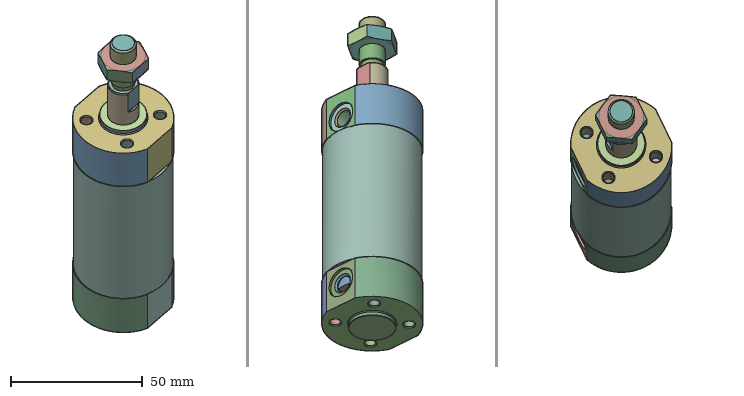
import cadquery as cq
import math

total_length = 138.0
boss_height = 2.0
lower_cap_bottom = boss_height
lower_cap_top = 20.0
upper_cap_bottom = 80.0
upper_cap_top = 98.0
upper_boss_top = upper_cap_top + boss_height

cap_diameter = 38.5
cap_flat_width = 35.6
tube_diameter = 38.0
boss_diameter = 18.0
boss_flare = 0.4
lower_boss_chamfer = 0.1
bore_diameter = 32.0
bore_bottom = 11.5
bore_top = upper_cap_bottom
rod_chamber_diameter = 21.4
rod_chamber_top = 87.5

port_heights = (12.1, 87.0)
spotface_diameter = 12.0
spotface_depth = 1.0
port_mouth_diameter = 8.0
port_diameter = 6.6
port_chamfer = (port_mouth_diameter - port_diameter) / 2
port_depth = 8.3

screw_offset = 10.0
screw_diameter = 4.1
screw_chamfer = 0.4
screw_depth = 8.0

rod_diameter = 12.0
rod_shoulder = 116.3
rod_edge_chamfer = 0.4
thread_diameter = 10.0
thread_bottom = 118.8
thread_chamfer = 0.7
relief_diameter = 8.5
wrench_flat_width = 10.0
wrench_flat_bottom = 106.5
piston_length = 13.8
nut_width = 17.0
nut_height = 6.0
nut_bottom = 125.3
hexagon_half_angle = 30
nut_corner_diameter = nut_width / math.cos(math.radians(hexagon_half_angle))
nut_chamfer_angle = 15


def cylinder(diameter, bottom, top):
    """Cylinder on the Z axis between two heights."""
    return cq.Workplane("XY").workplane(offset=bottom).circle(diameter / 2).extrude(top - bottom)


def make_cap(bottom, top):
    """Round end cap with one flat on each X side."""
    flats = cq.Workplane("XY").box(
        cap_flat_width, cap_diameter, top - bottom, centered=(True, True, False)
    )
    return cylinder(cap_diameter, bottom, top).intersect(flats.translate((0, 0, bottom)))


def make_boss(cap_face, direction):
    """Boss with a flared foot; direction is +1 upwards or -1 downwards."""
    radius = boss_diameter / 2
    profile = [
        (0, cap_face),
        (radius + boss_flare, cap_face),
        (radius, cap_face + direction * boss_flare),
        (radius, cap_face + direction * boss_height),
        (0, cap_face + direction * boss_height),
    ]
    return cq.Workplane("XZ").polyline(profile).close().revolve(360, (0, 0, 0), (0, 1, 0))


def make_port_cutter(height):
    """Spot face, chamfered mouth and flat-bottomed port, cut inwards from the -X flat."""
    flat = -cap_flat_width / 2
    floor = flat + spotface_depth
    profile = [
        (flat, 0),
        (flat, spotface_diameter / 2),
        (floor, spotface_diameter / 2),
        (floor, port_mouth_diameter / 2),
        (floor + port_chamfer, port_diameter / 2),
        (flat + port_depth, port_diameter / 2),
        (flat + port_depth, 0),
    ]
    cutter = cq.Workplane("XZ").polyline(profile).close().revolve(360, (0, 0, 0), (1, 0, 0))
    return cutter.translate((0, 0, height))


def make_screw_cutter(x, y, cap_face, direction):
    """Chamfered blind hole; direction points out of the cap face."""
    radius = screw_diameter / 2
    profile = [
        (0, cap_face),
        (radius + screw_chamfer, cap_face),
        (radius, cap_face - direction * screw_chamfer),
        (radius, cap_face - direction * screw_depth),
        (0, cap_face - direction * screw_depth),
    ]
    cutter = cq.Workplane("XZ").polyline(profile).close().revolve(360, (0, 0, 0), (0, 1, 0))
    return cutter.translate((x, y, 0))


def make_housing():
    """Tube and end caps, bored for the piston and its rod, with ports and screw holes."""
    housing = cylinder(tube_diameter, lower_cap_top, upper_cap_bottom)
    housing = housing.union(make_cap(lower_cap_bottom, lower_cap_top))
    housing = housing.union(make_cap(upper_cap_bottom, upper_cap_top))
    cap_faces = ((lower_cap_bottom, -1), (upper_cap_top, 1))
    for cap_face, direction in cap_faces:
        boss = make_boss(cap_face, direction)
        if direction < 0:
            boss = boss.faces("<Z").chamfer(lower_boss_chamfer)
        housing = housing.union(boss)
        for x in (-screw_offset, screw_offset):
            for y in (-screw_offset, screw_offset):
                housing = housing.cut(make_screw_cutter(x, y, cap_face, direction))
    housing = housing.cut(cylinder(bore_diameter, bore_bottom, bore_top))
    housing = housing.cut(cylinder(rod_chamber_diameter, bore_top, rod_chamber_top))
    housing = housing.cut(cylinder(rod_diameter, rod_chamber_top, upper_boss_top))
    for height in port_heights:
        housing = housing.cut(make_port_cutter(height))
    return housing


def make_nut():
    """Hexagon nut with corners on the Y axis, chamfered at both ends."""
    hexagon = (
        cq.Workplane("XY")
        .polygon(6, nut_corner_diameter)
        .extrude(nut_height)
        .rotate((0, 0, 0), (0, 0, 1), hexagon_half_angle)
    )
    corner_run = (nut_corner_diameter - nut_width) / 2
    corner_drop = corner_run * math.tan(math.radians(nut_chamfer_angle))
    chamfered_blank = (
        cq.Workplane("XY")
        .circle(nut_corner_diameter / 2)
        .extrude(nut_height)
        .edges()
        .chamfer(corner_drop, corner_run)
    )
    return hexagon.intersect(chamfered_blank).translate((0, 0, nut_bottom))


def make_piston_rod():
    """Piston, rod with wrench flats, thread relief, threaded end and nut."""
    rod = cylinder(rod_diameter, bore_bottom, rod_shoulder).faces(">Z").chamfer(rod_edge_chamfer)
    flat_length = rod_shoulder - wrench_flat_bottom
    flat_depth = (rod_diameter - wrench_flat_width) / 2
    for side in (-1, 1):
        flat_cutter = cq.Workplane("XY").box(
            flat_depth, rod_diameter, flat_length, centered=(True, True, False)
        )
        flat_center = side * (wrench_flat_width + flat_depth) / 2
        rod = rod.cut(flat_cutter.translate((flat_center, 0, wrench_flat_bottom)))
    piston = cylinder(bore_diameter, bore_bottom, bore_bottom + piston_length)
    relief = cylinder(relief_diameter, rod_shoulder, thread_bottom)
    thread = cylinder(thread_diameter, thread_bottom, total_length).faces(">Z").chamfer(thread_chamfer)
    return rod.union(piston).union(relief).union(thread).union(make_nut())


housing = make_housing()
piston_rod = make_piston_rod()
result = cq.Compound.makeCompound([housing.val(), piston_rod.val()])